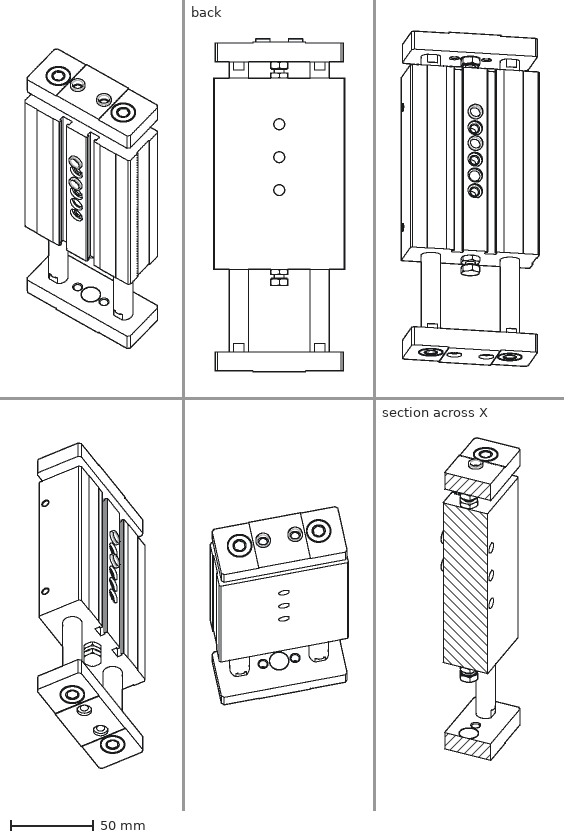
import cadquery as cq
import math


rod_diameter = 12.0
rod_x = 24.5
flat_across = 10.1
flat_height = 5.0

plate_width = 78.0
plate_front = -13.8
plate_back = 17.0
plate_thickness = 11.5
plate_chamfer = 1.5
band_width = 32.0
band_height = 0.6
pad_diameter = 12.0
pad_line_width = 0.2
pad_line_depth = 0.2

head_gap_outer_diameter = 15.0
head_gap_inner_diameter = 14.0
head_gap_depth = 0.5
socket_across_flats = 6.0
socket_depth = 0.5
socket_mouth_diameter = 8.0
socket_mouth_depth = 0.2

sleeve_diameter = 9.0
sleeve_bore = 6.5
sleeve_protrusion = 2.0
sleeve_seat_depth = 2.0
sleeve_length = sleeve_protrusion + sleeve_seat_depth
plate_sleeve_x = 10.0

housing_width = 80.0
housing_front = -14.8
housing_back = 15.0
housing_bottom = 62.3
housing_length = 116.0
housing_front_chamfer = 1.2
housing_back_chamfer = 0.8
step_height = 0.2
proud_band_inner_x = 17.8
proud_band_outer_x = 29.8
slot_x = 10.3
slot_mouth_width = 4.9
slot_mouth_chamfer = 0.6
slot_lip_depth = 2.0
slot_inner_width = 6.9
slot_depth = 5.0
side_recess_width = 12.0
side_recess_depth = 0.6

front_hole_pitch = 10.0
front_hole_count = 6
top_front_hole_z = 150.4
through_hole_diameter = 6.5
thread_diameter = 4.9
thread_depth = 10.1
thread_mouth_diameter = 6.0
thread_mouth_depth = 0.6
drill_point_angle = 118

port_y = 10.1
port_spacing = 76.1
top_port_z = 158.0
port_diameter = 4.9
port_bore = 4.0
port_depth = 5.0
port_mouth_depth = 0.5

stop_diameter = 6.0
hex_across_flats = 10.5
nut_height = 3.2
stop_head_height = 4.7
washer_face_diameter = 9.5
washer_face_height = 0.6
hex_chamfer = 0.6
stop_protrusion = 10.0
stop_thread_depth = 12.1

housing_top = housing_bottom + housing_length
housing_middle_z = housing_bottom + housing_length / 2
total_height = 202.5
top_outer_face = total_height - sleeve_protrusion
bottom_plate_top = band_height + plate_thickness
top_plate_bottom = top_outer_face - bottom_plate_top


def cylinder_z(diameter, z_low, z_high, x=0.0):
    """Upright cylinder on the rod plane between two heights."""
    return cq.Workplane("XY", origin=(x, 0, z_low)).circle(diameter / 2).extrude(z_high - z_low)


def ring_z(outer_diameter, inner_diameter, z_low, z_high, x=0.0):
    """Upright ring on the rod plane between two heights."""
    outer = cylinder_z(outer_diameter, z_low, z_high, x)
    return outer.cut(cylinder_z(inner_diameter, z_low, z_high, x))


def hex_prism(across_flats, z_low, z_high, x=0.0):
    """Upright hexagonal prism with a corner pointing to the front."""
    corner_diameter = across_flats / math.cos(math.pi / 6)
    return (
        cq.Workplane("XY", origin=(x, 0, z_low))
        .transformed(rotate=(0, 0, 30))
        .polygon(6, corner_diameter)
        .extrude(z_high - z_low)
    )


def cone_cut(wide_diameter, narrow_diameter, depth):
    """Cone frustum on the XY plane, wide end at Z = 0, pointing down."""
    return (
        cq.Workplane("XY")
        .circle(wide_diameter / 2)
        .workplane(offset=-depth)
        .circle(narrow_diameter / 2)
        .loft()
    )


def thread_mouth():
    """Countersink of a threaded hole, wide end at Z = 0 and pointing down."""
    return cone_cut(thread_mouth_diameter, thread_diameter, thread_mouth_depth)


def end_plate():
    """Upper end plate with its outer band, sleeve holes, screw heads and stop pad."""
    depth = plate_back - plate_front
    middle_y = (plate_front + plate_back) / 2
    plate = (
        cq.Workplane("XY", origin=(0, middle_y, top_plate_bottom))
        .rect(plate_width, depth)
        .extrude(plate_thickness)
        .edges("|Z")
        .chamfer(plate_chamfer)
    )
    plate_top = top_plate_bottom + plate_thickness
    band = (
        cq.Workplane("XY", origin=(0, middle_y, plate_top))
        .rect(band_width, depth)
        .extrude(band_height)
    )
    plate = plate.union(band)

    for side in (-1, 1):
        hole_x = side * plate_sleeve_x
        seat_floor = top_outer_face - sleeve_seat_depth
        plate = plate.cut(cylinder_z(sleeve_diameter, seat_floor, top_outer_face, hole_x))
        plate = plate.cut(cylinder_z(thread_diameter, top_plate_bottom, seat_floor, hole_x))
        lower_mouth = thread_mouth().rotate((0, 0, 0), (1, 0, 0), 180)
        plate = plate.cut(lower_mouth.translate((hole_x, 0, top_plate_bottom)))

        screw_x = side * rod_x
        gap = ring_z(
            head_gap_outer_diameter, head_gap_inner_diameter, plate_top - head_gap_depth, plate_top, screw_x
        )
        socket = hex_prism(socket_across_flats, plate_top - socket_depth, plate_top, screw_x)
        socket_mouth = cone_cut(
            socket_mouth_diameter, socket_mouth_diameter - 2 * socket_mouth_depth, socket_mouth_depth
        ).translate((screw_x, 0, plate_top))
        plate = plate.cut(gap).cut(socket).cut(socket_mouth)

    pad_outline = ring_z(
        pad_diameter,
        pad_diameter - 2 * pad_line_width,
        top_plate_bottom,
        top_plate_bottom + pad_line_depth,
    )
    return plate.cut(pad_outline)


def guide_rod(x):
    """Guide rod between the end plates, with wrench flats front and back at both ends."""
    rod = cylinder_z(rod_diameter, bottom_plate_top, top_plate_bottom, x)
    flat_cut_depth = rod_diameter - flat_across
    for flat_bottom in (bottom_plate_top, top_plate_bottom - flat_height):
        for side in (-1, 1):
            flat_cut = (
                cq.Workplane("XY", origin=(x, side * (flat_across + flat_cut_depth) / 2, flat_bottom))
                .rect(rod_diameter, flat_cut_depth)
                .extrude(flat_height)
            )
            rod = rod.cut(flat_cut)
    return rod


def make_carriage():
    """Both end plates joined by the two guide rods."""
    top_plate = end_plate()
    middle_z = (bottom_plate_top + top_plate_bottom) / 2
    bottom_plate = top_plate.mirror("XY", (0, 0, middle_z))
    body = top_plate.union(bottom_plate)
    for side in (-1, 1):
        body = body.union(guide_rod(side * rod_x))
    return body


def housing_block():
    """Chamfered block with the bands of its front standing slightly proud."""
    front_base = housing_front + step_height
    outline = [
        (-housing_width / 2, front_base + housing_front_chamfer),
        (-housing_width / 2 + housing_front_chamfer, front_base),
        (housing_width / 2 - housing_front_chamfer, front_base),
        (housing_width / 2, front_base + housing_front_chamfer),
        (housing_width / 2, housing_back - housing_back_chamfer),
        (housing_width / 2 - housing_back_chamfer, housing_back),
        (-housing_width / 2 + housing_back_chamfer, housing_back),
        (-housing_width / 2, housing_back - housing_back_chamfer),
    ]
    block = cq.Workplane("XY", origin=(0, 0, housing_bottom)).polyline(outline).close().extrude(housing_length)
    band_middle_x = (proud_band_inner_x + proud_band_outer_x) / 2
    outer_band_width = proud_band_outer_x - proud_band_inner_x
    centre_band_width = 2 * slot_x - slot_mouth_width
    bands = [
        (-band_middle_x, outer_band_width),
        (0, centre_band_width),
        (band_middle_x, outer_band_width),
    ]
    for band_x, width in bands:
        block = block.union(
            cq.Workplane("XY", origin=(band_x, housing_front + step_height / 2, housing_bottom))
            .rect(width, step_height)
            .extrude(housing_length)
        )
    return block


def sensor_slot(x):
    """T-slot running the full height of the housing front."""
    mouth = slot_mouth_width / 2
    inner = slot_inner_width / 2
    lip_y = housing_front + slot_lip_depth
    half = [
        (mouth + slot_mouth_chamfer, housing_front),
        (mouth, housing_front + slot_mouth_chamfer),
        (mouth, lip_y),
        (inner, lip_y),
        (inner, housing_front + slot_depth),
    ]
    outline = half + [(-px, py) for px, py in reversed(half)]
    return cq.Workplane("XY", origin=(x, 0, housing_bottom)).polyline(outline).close().extrude(housing_length)


def side_recess():
    """Shallow full-height recess in the right side."""
    return (
        cq.Workplane("XY", origin=((housing_width - side_recess_depth) / 2, 0, housing_bottom))
        .rect(side_recess_depth, side_recess_width)
        .extrude(housing_length)
    )


def front_hole_z(index):
    """Height of a front hole, counted from the top."""
    return top_front_hole_z - index * front_hole_pitch


def from_front(shape, z):
    """Turn a shape built downward from the XY plane so that it enters the housing front at height z."""
    return shape.rotate((0, 0, 0), (1, 0, 0), 90).translate((0, housing_front, z))


def front_seat():
    """Counterbore for a centring sleeve."""
    return cq.Workplane("XY").circle(sleeve_diameter / 2).extrude(-sleeve_seat_depth)


def front_through_hole():
    """Plain hole from the front to the back of the housing."""
    return cq.Workplane("XY").circle(through_hole_diameter / 2).extrude(housing_front - housing_back)


def front_threaded_hole():
    """Blind threaded hole, countersunk below the seat and ending in a drill point."""
    thread = cq.Workplane("XY").circle(thread_diameter / 2).extrude(-thread_depth)
    mouth = thread_mouth().translate((0, 0, -sleeve_seat_depth))
    return thread.union(mouth).union(drill_point(thread_diameter).translate((0, 0, -thread_depth)))


def drill_point(diameter):
    """Cone left by a drill, base at Z = 0 and tip down."""
    radius = diameter / 2
    tip = radius / math.tan(math.radians(drill_point_angle / 2))
    return cq.Workplane("XZ").polyline([(0, 0), (radius, 0), (0, -tip)]).close().revolve(
        360, (0, 0, 0), (0, 1, 0)
    )


def side_port(z):
    """Blind port entering from the left side."""
    mouth = cq.Workplane("XY").circle(port_diameter / 2).extrude(-port_mouth_depth)
    bore = cq.Workplane("XY").circle(port_bore / 2).extrude(-port_depth)
    port = mouth.union(bore).union(drill_point(port_bore).translate((0, 0, -port_depth)))
    return port.rotate((0, 0, 0), (0, 1, 0), -90).translate((-housing_width / 2, port_y, z))


def make_housing():
    """Housing with its slots, rod bores, front holes, ports and stop screw holes."""
    body = housing_block().cut(side_recess())
    for side in (-1, 1):
        body = body.cut(sensor_slot(side * slot_x))
        body = body.cut(cylinder_z(rod_diameter, housing_bottom, housing_top, side * rod_x))
    for index in range(front_hole_count):
        hole = front_through_hole() if index % 2 == 0 else front_threaded_hole()
        body = body.cut(from_front(hole.union(front_seat()), front_hole_z(index)))
    for port_index in range(2):
        body = body.cut(side_port(top_port_z - port_index * port_spacing))
    body = body.cut(cylinder_z(stop_diameter, housing_top - stop_thread_depth, housing_top))
    return body.cut(cylinder_z(stop_diameter, housing_bottom, housing_bottom + stop_thread_depth))


def make_sleeve():
    """Sleeve standing on the XY plane, its upper end fully rounded."""
    outer_radius = sleeve_diameter / 2
    bore_radius = sleeve_bore / 2
    rounding = (outer_radius - bore_radius) / 2
    shoulder_z = sleeve_length - rounding
    return (
        cq.Workplane("XZ")
        .moveTo(bore_radius, 0)
        .lineTo(outer_radius, 0)
        .lineTo(outer_radius, shoulder_z)
        .threePointArc((bore_radius + rounding, sleeve_length), (bore_radius, shoulder_z))
        .close()
        .revolve(360, (0, 0, 0), (0, 1, 0))
    )


def place_sleeves():
    """Two sleeves in the upper end plate and two in the housing front."""
    sleeves = []
    seat_floor = top_outer_face - sleeve_seat_depth
    for side in (-1, 1):
        sleeves.append(make_sleeve().translate((side * plate_sleeve_x, 0, seat_floor)))
    for index in (0, 2):
        sleeve = make_sleeve().translate((0, 0, -sleeve_seat_depth))
        sleeves.append(from_front(sleeve, front_hole_z(index)))
    return sleeves


def chamfered_hexagon(z_low, z_high):
    """Hexagonal prism with its corners chamfered at both ends."""
    corner_diameter = hex_across_flats / math.cos(math.pi / 6)
    turned_blank = cylinder_z(corner_diameter, z_low, z_high).faces("<Z or >Z").chamfer(hex_chamfer)
    return hex_prism(hex_across_flats, z_low, z_high).intersect(turned_blank)


def make_stop_screw():
    """Upper stop screw, with its hexagon head on top and a washer face under the head."""
    head_top = housing_top + stop_protrusion
    head_bottom = head_top - stop_head_height
    hexagon_bottom = head_bottom + washer_face_height
    hexagon = chamfered_hexagon(hexagon_bottom, head_top)
    washer_face = cylinder_z(washer_face_diameter, head_bottom, hexagon_bottom)
    shank = cylinder_z(stop_diameter, housing_top - stop_thread_depth, head_bottom)
    return hexagon.union(washer_face).union(shank)


def make_lock_nut():
    """Lock nut around the upper stop screw, seated on the housing."""
    nut_top = housing_top + nut_height
    return chamfered_hexagon(housing_top, nut_top).cut(cylinder_z(stop_diameter, housing_top, nut_top))


def at_both_ends(upper):
    """A body at the housing top and its mirror image at the housing bottom."""
    return [upper, upper.mirror("XY", (0, 0, housing_middle_z))]


carriage = make_carriage()
housing = make_housing()
sleeves = place_sleeves()
stop_screws = at_both_ends(make_stop_screw())
lock_nuts = at_both_ends(make_lock_nut())

repeated_bodies = sleeves + stop_screws + lock_nuts
result = cq.Compound.makeCompound([carriage.val(), housing.val(), *[body.val() for body in repeated_bodies]])